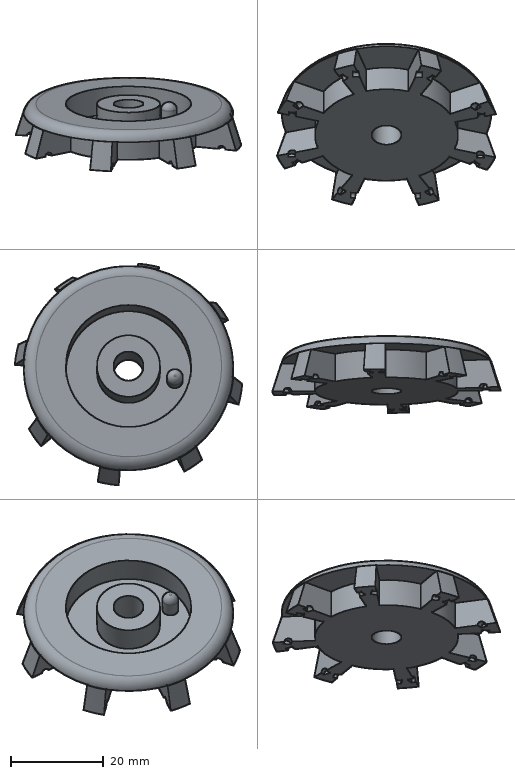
import cadquery as cq
import math

height = 8.19
overlap = 0.5

rim_radius = 22.78
rim_thickness = 2.1
rim_bottom = height - rim_thickness
rim_flat_radius = 20.1
rim_round_radius = rim_radius - rim_flat_radius

core_radius = 15.5

tooth_count = 8
tooth_pitch = 360 / tooth_count
tooth_tip_radius = 24.75
tooth_root_radius = 22.82
tooth_half_angle = 5.4

axle_radius = 0.8
axle_length = 15.0
axle_distance = 20.44

pocket_radius = 27.13 / 2
pocket_floor = 2.19
hub_radius = 13.66 / 2
bore_radius = 6.45 / 2

pin_radius = 3.45 / 2
pin_offset = 10.2
pin_dome_radius = 1.75
pin_tip_flat_radius = 0.2
pin_top = 7.03


def make_rim():
    """Disc whose top edge is rounded by an arc tangent to the top face."""
    arc_centre_z = height - rim_round_radius
    edge_angle = math.asin((rim_bottom - arc_centre_z) / rim_round_radius)
    mid_angle = (edge_angle + math.pi / 2) / 2

    def arc_point(angle):
        return (
            rim_flat_radius + rim_round_radius * math.cos(angle),
            arc_centre_z + rim_round_radius * math.sin(angle),
        )

    profile = (
        cq.Workplane("XZ")
        .moveTo(0, rim_bottom)
        .lineTo(*arc_point(edge_angle))
        .threePointArc(arc_point(mid_angle), (rim_flat_radius, height))
        .lineTo(0, height)
        .close()
    )
    return profile.revolve(360, (0, 0, 0), (0, 1, 0))


def make_core():
    return cq.Workplane("XY").circle(core_radius).extrude(rim_bottom + overlap)


def make_tooth(angle):
    """Conical sector centred on the given angle."""
    return (
        cq.Workplane("XZ")
        .lineTo(tooth_tip_radius, 0)
        .lineTo(tooth_root_radius, rim_bottom)
        .lineTo(0, rim_bottom)
        .close()
        .revolve(2 * tooth_half_angle, (0, 0, 0), (0, 1, 0))
        .rotate((0, 0, 0), (0, 0, 1), angle - tooth_half_angle)
    )


def make_axle(angle):
    """Axle lying tangentially in the bottom plane at the given angle."""
    return (
        cq.Workplane("XZ")
        .center(axle_distance, 0)
        .circle(axle_radius)
        .extrude(axle_length / 2, both=True)
        .rotate((0, 0, 0), (0, 0, 1), angle)
    )


def make_pocket():
    return (
        cq.Workplane("XY", origin=(0, 0, pocket_floor))
        .circle(pocket_radius)
        .circle(hub_radius)
        .extrude(height)
    )


def make_pin():
    """Cylinder with a domed head ending in a tiny flat."""
    base_z = pocket_floor - overlap
    dome_centre_z = pin_top - math.sqrt(pin_dome_radius**2 - pin_tip_flat_radius**2)
    shoulder_z = dome_centre_z + math.sqrt(pin_dome_radius**2 - pin_radius**2)
    diagonal = pin_dome_radius * math.sqrt(0.5)
    return (
        cq.Workplane("XZ", origin=(0, pin_offset, 0))
        .moveTo(0, base_z)
        .lineTo(pin_radius, base_z)
        .lineTo(pin_radius, shoulder_z)
        .threePointArc((diagonal, dome_centre_z + diagonal), (pin_tip_flat_radius, pin_top))
        .lineTo(0, pin_top)
        .close()
        .revolve(360, (0, 0, 0), (0, 1, 0))
    )


result = make_rim().union(make_core())
for i in range(tooth_count):
    result = result.union(make_tooth(i * tooth_pitch))
for i in range(tooth_count):
    result = result.cut(make_axle((i + 0.5) * tooth_pitch))
result = result.cut(make_pocket()).union(make_pin())
result = result.cut(cq.Workplane("XY").circle(bore_radius).extrude(height))